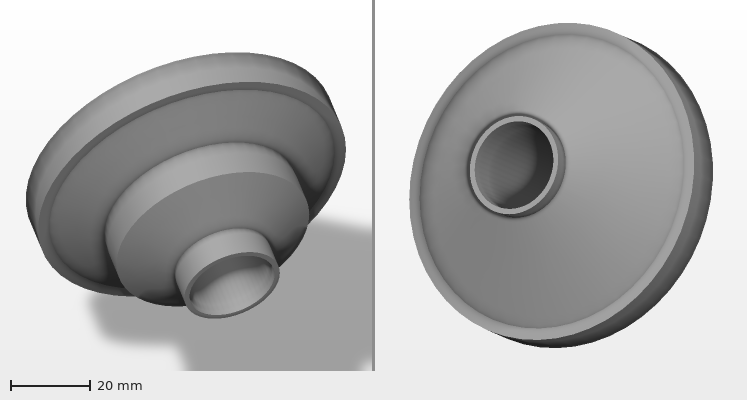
import cadquery as cq

front_pipe_length = 4.0
front_cone_length = 16.0
disc_length = 10.0
collar_length = disc_length
rear_cone_length = 7.55
rear_pipe_length = 8.0
overall_length = 62.5

disc_diameter = 82.0
cone_rim_diameter = 76.0
collar_diameter = 51.3
pipe_diameter = 25.4
bore_diameter = 22.6

disc_radius = disc_diameter / 2
cone_rim_radius = cone_rim_diameter / 2
collar_radius = collar_diameter / 2
pipe_radius = pipe_diameter / 2
bore_radius = bore_diameter / 2

front_cone_start = front_pipe_length
disc_start = front_cone_start + front_cone_length
disc_end = disc_start + disc_length
rear_cone_end = overall_length - rear_pipe_length
collar_end = rear_cone_end - rear_cone_length
collar_start = collar_end - collar_length

half_section = [
    (0, bore_radius),
    (0, pipe_radius),
    (front_cone_start, pipe_radius),
    (disc_start, cone_rim_radius),
    (disc_start, disc_radius),
    (disc_end, disc_radius),
    (disc_end, cone_rim_radius),
    (collar_start, collar_radius),
    (collar_end, collar_radius),
    (rear_cone_end, pipe_radius),
    (overall_length, pipe_radius),
    (overall_length, bore_radius),
]

result = cq.Workplane("XY").polyline(half_section).close().revolve(360, (0, 0, 0), (1, 0, 0))